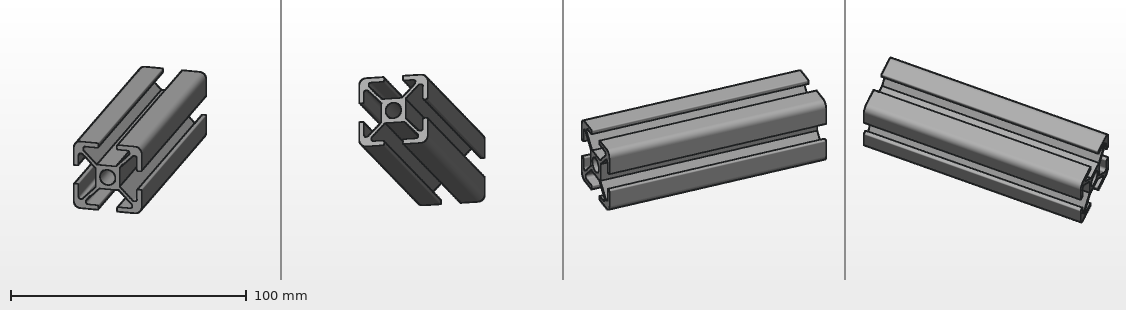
import cadquery as cq

length = 100.0
side = 30.0
corner_radius = 3.0
bore_diameter = 6.8
core_side = 10.6
lip_thickness = 2.1
lip_edge_radius = 0.5
slot_opening = 8.2
slot_end_radius = 1.1

floor_long_reach = 4.8
floor_short_reach = 3.6

half_side = side / 2
half_core = core_side / 2
half_opening = slot_opening / 2
lip_inner = half_side - lip_thickness
slot_depth = lip_inner - half_core


def make_bar():
    """Square bar along Y, centred on the origin, with rounded long edges."""
    return cq.Workplane("XY").box(side, length, side).edges("|Y").fillet(corner_radius)


def round_edge(body, x, z, radius):
    """Fillet the lengthwise edge of a body that lies nearest to (x, z)."""
    nearest = cq.NearestToPointSelector((x, 0, z))
    return body.edges("|Y").edges(nearest).fillet(radius)


def make_slot():
    """Upper T-slot: a trapezoid with 45 degree flanks, opened through the lips."""
    profile = [
        (-floor_long_reach, half_core),
        (floor_short_reach, half_core),
        (floor_short_reach + slot_depth, lip_inner),
        (half_opening, lip_inner),
        (half_opening, half_side),
        (-half_opening, half_side),
        (-half_opening, lip_inner),
        (-floor_long_reach - slot_depth, lip_inner),
    ]
    slot = cq.Workplane("XZ").polyline(profile).close().extrude(length / 2, both=True)

    slot = round_edge(slot, -floor_long_reach - slot_depth, lip_inner, slot_end_radius)
    slot = round_edge(slot, floor_short_reach + slot_depth, lip_inner, slot_end_radius)
    for x in (-half_opening, half_opening):
        slot = round_edge(slot, x, lip_inner, lip_edge_radius)
    return slot


def round_outer_lip_edges(bar):
    """Round the edges where each slot opening meets the outer faces."""
    for sign_across in (-1, 1):
        for sign_out in (-1, 1):
            across = sign_across * half_opening
            outward = sign_out * half_side
            bar = round_edge(bar, across, outward, lip_edge_radius)
            bar = round_edge(bar, outward, across, lip_edge_radius)
    return bar


result = make_bar()

slot_cutter = make_slot()
for quarter_turn in range(4):
    result = result.cut(slot_cutter.rotate((0, 0, 0), (0, 1, 0), 90 * quarter_turn))
result = round_outer_lip_edges(result)

bore = cq.Workplane("XZ").circle(bore_diameter / 2).extrude(length / 2, both=True)
result = result.cut(bore)